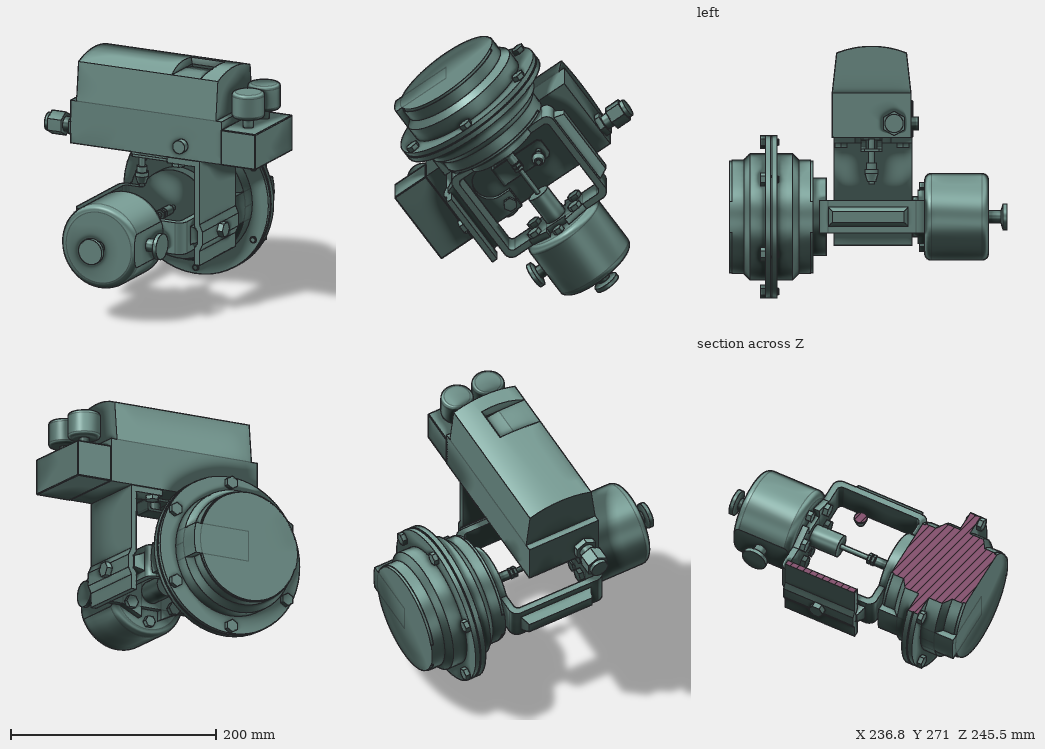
import cadquery as cq
import math


body_half_length = 41.0
body_radius = 61.7
body_half_width = 20.5
neck_radius = 55.5
neck_start = 26.8
neck_lip_radius = 54.7
neck_lip_width = 2.7
port_half_height = 15.2

flange_radius = 79.3
flange_face = 5.7
joint_gap = 1.0
gasket_radius = 78.5
bolt_count = 6
bolt_circle_radius = 72.8
bolt_head_flats = 11.0
bolt_head_height = 5.0
bolt_tip_radius = 3.2
bolt_tip_length = 2.0
bolt_tip_chamfer = 0.8

yoke_half_width = 60.0
yoke_back = -47.0
yoke_front = -149.5
yoke_wall = 6.5
hub_radius = 38.0
hub_end = yoke_back - yoke_wall
yoke_half_height = 16.0
yoke_outer_radius = 8.5
yoke_inner_radius = 4.5
boss_center_y = -94.5
boss_height = 9.5
boss_base = (77.7, 18.7)
boss_top = (70.0, 10.8)

mount_half_width = 32.2
mount_half_height = 26.0
mount_bolt_x = 24.0
mount_bolt_z = 13.8
mount_bolt_flats = 11.6
mount_bolt_height = 5.0
lock_bolt_z = 28.7
lock_bolt_flats = 9.7
lock_bolt_height = 5.1

stem_radius = 2.5
coupling_radius = 4.5
coupling_back = -61.7
coupling_length = 13.0
stem_nut_flats = 9.2
stem_nut_length = 3.0
stem_nut_gap = 1.0
collar_radius = 11.0
collar_back = -113.5

can_radius = 42.2
can_front = -211.7
can_fillet = 6.5
can_flat_x = 38.7
stub_radius = 6.2
stub_flange_radius = 12.7
front_stub_end = -230.0
side_stub_end = 53.5
side_stub_y = -181.1
stub_flange_width = 4.0
stub_cone_width = 2.0

case_left = -70.0
case_right = 95.8
case_back = -59.3
case_front = -136.2
case_bottom = 77.5
case_top = 120.8
cover_margin = 6.5
cover_draft = 4.3
cover_shoulder_z = 159.7
cover_top = 166.2
window_left = 38.7
window_right = 69.9
window_back = -88.3
window_flare = 3.2
window_wedge_front = -103.0
window_wedge_depth = 2.7
button_x = 52.3
button_radius = 6.5
button_length = 7.0

fitting_y = -119.7
fitting_z = 91.0
fitting_flats = 20.5
fitting_neck_radius = 7.3
fitting_cap_radius = 9.0
fitting_base_end = -75.8
fitting_neck_end = -83.7
fitting_nut_end = -98.8
fitting_cap_end = -103.0

block_right = 133.8
block_back = case_back
block_front = -138.0
block_top = 113.2
block_chamfer = 0.8
gauge_places = [(113.7, -81.0), (114.5, -116.0)]
gauge_radius = 16.0
gauge_bottom = 123.2
gauge_top = 148.6
gauge_fillet = 3.2
gauge_stem_radius = 5.1

bracket_left = 36.5
bracket_inner = 66.3
bracket_wall = 5.7
bracket_bottom = -28.0
bracket_back = -61.0
bracket_front = -137.3
bracket_slot_width = 35.0
bracket_slot_end = 47.5
jog_offset = 3.2
jog_half_top = 6.5
jog_half_base = 13.5
bracket_bolt_x = 44.0
bracket_bolt_flats = 12.0
bracket_bolt_height = 4.0
bracket_bolt_ys = (-68.0, -128.3)
pivot_bolt_flats = 13.3
pivot_bolt_end = 81.2

clip_left = 11.6
clip_right = 37.0
clip_bottom = 63.5
clip_wall = 2.5
clip_half_width = 10.3
clip_fillet = 2.2
clip_bend_radius = 2.2
clip_tip_chamfer = 2.0
lever_left = -20.0
lever_tip_chamfer = 3.2
spacer_x = 23.3
spacer_radius = 5.5
pin_x = -11.6
pin_y = -97.7
pin_top = 75.8
pin_radius = 3.0
pin_sleeve_top = 52.3
pin_sleeve_radius = 5.0
pin_collar_top = 46.3
pin_collar_radius = 6.5
pin_cone_top = 42.2
pin_cone_tip_radius = 4.0
pin_tip_top = 34.7
pin_tip_radius = 2.7
pin_bottom = 32.2


def box(x_range, y_range, z_range):
    """Box given by its limits along each axis."""
    (x0, x1), (y0, y1), (z0, z1) = x_range, y_range, z_range
    return cq.Workplane("XY").box(x1 - x0, y1 - y0, z1 - z0, centered=False).translate((x0, y0, z0))


def rod(axis, place, radius, start, end):
    """Cylinder along an axis; place holds the two other coordinates in X, Y, Z order."""
    return along(axis, place, start).circle(radius).extrude(end - start)


def hex_rod(axis, place, flats, start, end, turn=0):
    """Hexagonal prism along an axis, turned about it; unturned, corners point along Y, Z or X."""
    corners = flats / math.cos(math.pi / 6)
    base = along(axis, place, start).transformed(rotate=(0, 0, turn))
    return base.polygon(6, corners).extrude(end - start)


def along(axis, place, start):
    """Workplane at the start of a rod, facing along the positive axis."""
    a, b = place
    if axis == "X":
        return cq.Workplane("YZ", origin=(start, a, b))
    if axis == "Y":
        return cq.Workplane("ZX", origin=(a, start, b))
    return cq.Workplane("XY", origin=(a, b, start))


def turned(outline, place=(0, 0)):
    """Solid turned about a vertical axis from (radius, Z) outline points."""
    x, y = place
    return cq.Workplane("XZ").polyline(outline).close().revolve().translate((x, y, 0))


def valve_body():
    half_outline = [
        (gasket_radius, 0),
        (gasket_radius, joint_gap / 2),
        (flange_radius, joint_gap / 2),
        (flange_radius, flange_face),
        (body_radius, flange_face),
        (body_radius, body_half_width),
        (neck_radius, neck_start),
        (neck_radius, body_half_length),
        (0, body_half_length),
    ]
    mirrored = [(radius, -y) for radius, y in reversed(half_outline)]
    body = cq.Workplane("XY").polyline(half_outline + mirrored[:-1]).close()
    body = body.revolve(360, (0, 0, 0), (0, 1, 0))
    port = box(
        (0, body_radius),
        (-body_half_length, body_half_length),
        (-port_half_height, port_half_height),
    )
    port = port.intersect(rod("Y", (0, 0), body_radius, -body_half_length, body_half_length))
    return body.cut(neck_lips()).union(port)


def neck_lips():
    """Shallow ring cuts at both ends of the body, left out across the port height on the left."""
    lip_start = body_half_length - neck_lip_width
    ring = rod("Y", (0, 0), neck_radius, lip_start, body_half_length)
    ring = ring.cut(rod("Y", (0, 0), neck_lip_radius, lip_start, body_half_length))
    left_gap = box(
        (-neck_radius, 0),
        (lip_start, body_half_length),
        (-port_half_height, port_half_height),
    )
    ring = ring.cut(left_gap)
    return ring.union(ring.mirror("XZ"))


def flange_bolts():
    tip_end = -flange_face - bolt_tip_length
    bolts = cq.Workplane("XY")
    for number in range(bolt_count):
        angle = number * 2 * math.pi / bolt_count
        place = (bolt_circle_radius * math.sin(angle), bolt_circle_radius * math.cos(angle))
        head = hex_rod("Y", place, bolt_head_flats, 0, flange_face + bolt_head_height)
        tip = rod("Y", place, bolt_tip_radius, tip_end, 0).faces("<Y").chamfer(bolt_tip_chamfer)
        bolts = bolts.union(head).union(tip)
    return bolts


def yoke():
    length = yoke_back - yoke_front
    center_y = (yoke_back + yoke_front) / 2
    height = 2 * yoke_half_height
    base = cq.Workplane("XY", origin=(0, center_y, -yoke_half_height))
    outside = base.rect(2 * yoke_half_width, length).extrude(height)
    outside = outside.edges("|Z").fillet(yoke_outer_radius)
    inside = base.rect(2 * (yoke_half_width - yoke_wall), length - 2 * yoke_wall).extrude(height)
    inside = inside.edges("|Z").fillet(yoke_inner_radius)
    boss = (
        cq.Workplane("YZ", origin=(yoke_half_width, boss_center_y, 0))
        .rect(*boss_base)
        .workplane(offset=boss_height)
        .rect(*boss_top)
        .loft()
    )
    hub = rod("Y", (0, 0), hub_radius, hub_end, -neck_start)
    return outside.cut(inside).union(hub).union(boss).union(boss.mirror("YZ"))


def actuator_mount():
    back = yoke_front + yoke_wall
    corner_points = [
        (collar_radius, mount_half_height),
        (mount_half_width, yoke_half_height),
        (mount_half_width, -yoke_half_height),
        (collar_radius, -mount_half_height),
    ]
    opposite_points = [(-x, -z) for x, z in corner_points]
    plate = cq.Workplane("XZ", origin=(0, back, 0)).polyline(corner_points + opposite_points)
    plate = plate.close().extrude(yoke_wall)
    slot = box(
        (-collar_radius, collar_radius),
        (yoke_front, back),
        (-mount_half_height, mount_half_height),
    )
    mount = plate.cut(slot)
    for x in (-mount_bolt_x, mount_bolt_x):
        for z in (-mount_bolt_z, mount_bolt_z):
            mount = mount.union(
                hex_rod("Y", (x, z), mount_bolt_flats, back, back + mount_bolt_height, 30)
            )
    for z in (-lock_bolt_z, lock_bolt_z):
        lock_end = yoke_front + lock_bolt_height
        lock_start = yoke_front - can_fillet
        mount = mount.union(hex_rod("Y", (0, z), lock_bolt_flats, lock_start, lock_end, 30))
    return mount


def stem():
    coupling_front = coupling_back - coupling_length
    shaft = rod("Y", (0, 0), stem_radius, collar_back, hub_end)
    coupling = rod("Y", (0, 0), coupling_radius, coupling_front, coupling_back)
    shaft = shaft.union(coupling)
    for number in (1, 2):
        nut_start = coupling_front - number * (stem_nut_length + stem_nut_gap)
        nut_end = nut_start + stem_nut_length
        shaft = shaft.union(hex_rod("Y", (0, 0), stem_nut_flats, nut_start, nut_end))
    collar = rod("Y", (0, 0), collar_radius, yoke_front, collar_back)
    return shaft.union(collar)


def pipe_stub(length):
    """Pipe with a cone and a flange at its far end, standing on Z = 0."""
    return turned(
        [
            (0, 0),
            (stub_radius, 0),
            (stub_radius, length - stub_flange_width - stub_cone_width),
            (stub_flange_radius, length - stub_flange_width),
            (stub_flange_radius, length),
            (0, length),
        ]
    )


def actuator():
    can = rod("Y", (0, 0), can_radius, can_front, yoke_front)
    can = can.edges("%CIRCLE").fillet(can_fillet)
    trim = box(
        (can_flat_x, can_radius),
        (can_front, yoke_front),
        (-can_radius, can_radius),
    )
    front_stub = pipe_stub(can_front - front_stub_end)
    front_stub = front_stub.rotate((0, 0, 0), (1, 0, 0), 90).translate((0, can_front, 0))
    side_stub = pipe_stub(side_stub_end - can_flat_x)
    side_stub = side_stub.rotate((0, 0, 0), (0, 1, 0), 90).translate((can_flat_x, side_stub_y, 0))
    return can.cut(trim).union(front_stub).union(side_stub)


def positioner():
    case = box((case_left, case_right), (case_front, case_back), (case_bottom, case_top))
    button = rod("Y", (button_x, fitting_z), button_radius, case_front - button_length, case_front)
    return case.union(cover()).union(button)


def cover():
    center_y = (case_back + case_front) / 2
    shoulder_back = case_back - cover_draft
    shoulder_front = case_front + cover_draft
    left = case_left + cover_margin
    right = case_right - cover_margin
    shell = (
        cq.Workplane("YZ", origin=(left, 0, 0))
        .moveTo(case_back, case_top)
        .lineTo(shoulder_back, cover_shoulder_z)
        .threePointArc((center_y, cover_top), (shoulder_front, cover_shoulder_z))
        .lineTo(case_front, case_top)
        .close()
        .extrude(right - left)
    )
    window_width = window_right - window_left
    window_length = 2 * (window_back - case_front)
    window_center_x = (window_left + window_right) / 2
    window = (
        cq.Workplane("XY", origin=(window_center_x, case_front, cover_shoulder_z))
        .rect(window_width, window_length)
        .workplane(offset=cover_top - cover_shoulder_z)
        .rect(window_width + 2 * window_flare, window_length + 2 * window_flare)
        .loft()
    )
    wedge = (
        cq.Workplane("YZ", origin=(window_left, 0, cover_shoulder_z))
        .polyline([(window_back, 0), (window_back, -window_wedge_depth), (window_wedge_front, 0)])
        .close()
        .extrude(window_width)
    )
    return shell.cut(window).cut(wedge)


def cable_fitting():
    place = (fitting_y, fitting_z)
    base = hex_rod("X", place, fitting_flats, fitting_base_end, case_left, 90)
    neck = rod("X", place, fitting_neck_radius, fitting_neck_end, fitting_base_end)
    nut = hex_rod("X", place, fitting_flats, fitting_nut_end, fitting_neck_end, 90)
    cap = rod("X", place, fitting_cap_radius, fitting_cap_end, fitting_nut_end)
    return base.union(neck).union(nut).union(cap)


def gauges():
    block = box((case_right, block_right), (block_front, block_back), (case_bottom, block_top))
    block = block.edges().chamfer(block_chamfer)
    for place in gauge_places:
        dial = rod("Z", place, gauge_radius, gauge_bottom, gauge_top)
        dial = dial.faces("<Z or >Z").edges().fillet(gauge_fillet)
        block = block.union(dial)
        block = block.union(rod("Z", place, gauge_stem_radius, block_top, gauge_bottom))
    return block


def bracket():
    outer = bracket_inner + bracket_wall
    shelf_bottom = case_bottom - bracket_wall
    outline = [
        (bracket_left, case_bottom),
        (outer, case_bottom),
        (outer, jog_half_base),
        (outer + jog_offset, jog_half_top),
        (outer + jog_offset, -jog_half_top),
        (outer, -jog_half_base),
        (outer, bracket_bottom),
        (bracket_inner, bracket_bottom),
        (bracket_inner, -jog_half_base + jog_offset),
        (bracket_inner + jog_offset, -jog_half_top),
        (bracket_inner + jog_offset, jog_half_top),
        (bracket_inner, jog_half_base - jog_offset),
        (bracket_inner, shelf_bottom),
        (bracket_left, shelf_bottom),
    ]
    center_y = (bracket_back + bracket_front) / 2
    plate = cq.Workplane("XZ", origin=(0, bracket_back, 0)).polyline(outline).close()
    plate = plate.extrude(bracket_back - bracket_front)
    slot_radius = bracket_slot_width / 2
    slot = box(
        (bracket_left, bracket_slot_end),
        (center_y - slot_radius, center_y + slot_radius),
        (shelf_bottom, case_bottom),
    )
    slot = slot.union(
        rod("Z", (bracket_slot_end, center_y), slot_radius, shelf_bottom, case_bottom)
    )
    plate = plate.cut(slot)
    for y in bracket_bolt_ys:
        bolt_bottom = shelf_bottom - bracket_bolt_height
        place = (bracket_bolt_x, y)
        plate = plate.union(hex_rod("Z", place, bracket_bolt_flats, bolt_bottom, shelf_bottom))
    pivot_start = bracket_inner + jog_offset
    pivot = hex_rod("X", (center_y, 0), pivot_bolt_flats, pivot_start, pivot_bolt_end)
    return plate.union(pivot)


def feedback_lever():
    width = (pin_y - clip_half_width, pin_y + clip_half_width)
    inner_bottom = clip_bottom + clip_wall
    inner_top = case_bottom - clip_wall
    clip = box((clip_left, clip_right), width, (clip_bottom, case_bottom))
    clip = clip.edges("|Y and >X").fillet(clip_fillet)
    clip = clip.edges("|Z and <X").chamfer(clip_tip_chamfer)
    opening = box((clip_left, clip_right - clip_wall), width, (inner_bottom, inner_top))
    opening = opening.edges("|Y and >X").fillet(clip_bend_radius)
    arm = box((lever_left, spacer_x), width, (clip_bottom, inner_bottom))
    arm = arm.edges("|Z and <X").chamfer(lever_tip_chamfer)
    spacer = rod("Z", (spacer_x, pin_y), spacer_radius, inner_bottom, case_bottom)
    return clip.cut(opening).union(arm).union(spacer).union(feedback_pin())


def feedback_pin():
    outline = [
        (0, pin_top),
        (pin_radius, pin_top),
        (pin_radius, pin_sleeve_top),
        (pin_sleeve_radius, pin_sleeve_top),
        (pin_sleeve_radius, pin_collar_top),
        (pin_collar_radius, pin_collar_top),
        (pin_collar_radius, pin_cone_top),
        (pin_cone_tip_radius, pin_tip_top),
        (pin_tip_radius, pin_tip_top),
        (pin_tip_radius, pin_bottom),
        (0, pin_bottom),
    ]
    return turned(outline, (pin_x, pin_y))


result = valve_body()
for part in (
    flange_bolts(),
    yoke(),
    stem(),
    actuator_mount(),
    actuator(),
    bracket(),
    positioner(),
    cable_fitting(),
    gauges(),
    feedback_lever(),
):
    result = result.union(part)